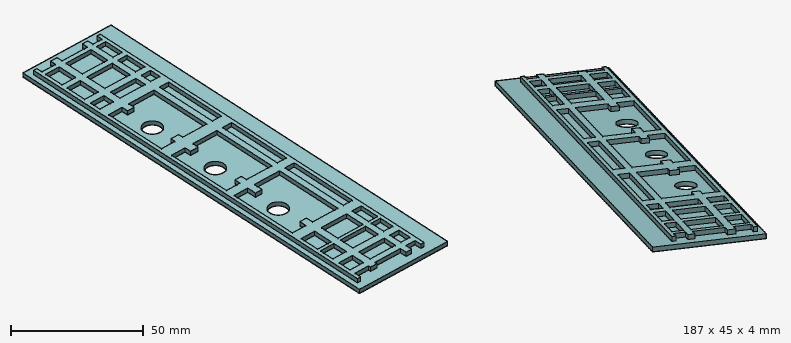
import cadquery as cq

plate_length = 187.0
plate_width = 45.0
total_height = 4.0
plate_thickness = total_height / 2
rib_height = total_height - plate_thickness

frame_margin = 3.5
frame_left = frame_margin
frame_right = plate_length - frame_margin
frame_bottom = 2.2
frame_top = 36.3
edge_rail_width = 1.7

upper_rail_bottom = 27.1
upper_rail_width = 2.8

lower_rail_bottom = 10.8
lower_rail_width = 3.4
wide_piece_width = 4.0
lower_rail_right = 181.4

lower_rail_pieces = [
    (frame_left, 46.4, lower_rail_width),
    (70.5, 81.3, wide_piece_width),
    (106.0, 117.5, lower_rail_width),
    (142.1, lower_rail_right, lower_rail_width),
]

posts = [
    (6.4, 8.5),
    (17.5, 20.2),
    (30.1, 33.3),
    (38.5, 43.4),
    (72.7, 78.4),
    (108.8, 113.1),
    (145.5, 150.3),
    (159.5, 161.0),
    (168.0, 171.3),
    (177.5, 180.3),
]

hole_diameter = 8.5
hole_spacing = 35.0
hole_y = 12.3


def rib(left, right, bottom, width):
    """A rectangular bar standing on the plate, reaching from left to right along X."""
    return (
        cq.Workplane("XY", origin=(left, bottom, plate_thickness))
        .rect(right - left, width, centered=False)
        .extrude(rib_height)
    )


plate = cq.Workplane("XY").box(plate_length, plate_width, plate_thickness, centered=False)

full_rails = [
    (frame_bottom, edge_rail_width),
    (upper_rail_bottom, upper_rail_width),
    (frame_top - edge_rail_width, edge_rail_width),
]
result = plate
for rail_bottom, rail_width in full_rails:
    result = result.union(rib(frame_left, frame_right, rail_bottom, rail_width))

for piece_left, piece_right, piece_width in lower_rail_pieces:
    result = result.union(rib(piece_left, piece_right, lower_rail_bottom, piece_width))

for post_left, post_right in posts:
    result = result.union(rib(post_left, post_right, frame_bottom, frame_top - frame_bottom))

hole_centers = [(plate_length / 2 + step * hole_spacing, hole_y) for step in (-1, 0, 1)]
holes = (
    cq.Workplane("XY")
    .pushPoints(hole_centers)
    .circle(hole_diameter / 2)
    .extrude(plate_thickness)
)
result = result.cut(holes)